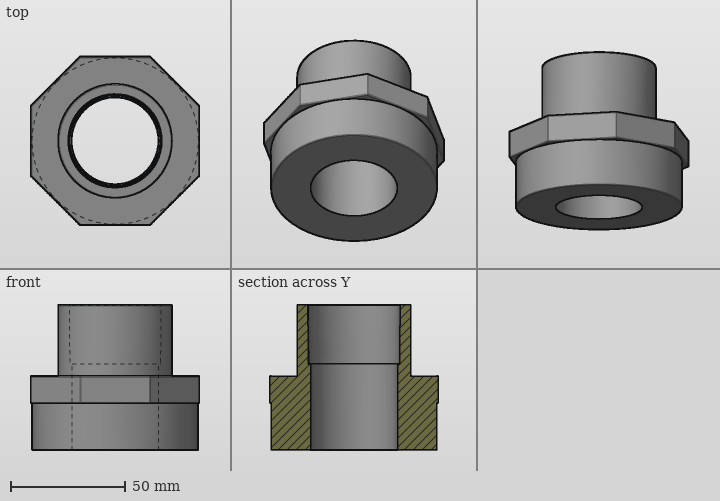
import cadquery as cq
import math

total_height = 63.8
body_height = 20.5
collar_height = 12.0
collar_top = body_height + collar_height
spigot_height = total_height - collar_top

body_diameter = 73.0
collar_across_flats = 74.0
spigot_diameter = 50.0

passage_diameter = 38.0
socket_mouth_diameter = 40.3
socket_floor_diameter = 39.8
socket_depth = 26.0
socket_floor = total_height - socket_depth
socket_lead_in = 0.4

edge_radius = 0.5
body_edge_radius = 0.4


def make_body():
    """Round lower body with a softened bottom rim."""
    body = cq.Workplane("XY").circle(body_diameter / 2).extrude(body_height)
    return body.faces("<Z").edges().fillet(body_edge_radius)


def make_collar():
    """Regular octagonal collar, flats facing X and Y, with every edge rounded."""
    sides = 8
    half_side_angle = 180 / sides
    across_corners = collar_across_flats / math.cos(math.radians(half_side_angle))
    collar = (
        cq.Workplane("XY")
        .workplane(offset=body_height)
        .transformed(rotate=(0, 0, half_side_angle))
        .polygon(sides, across_corners)
        .extrude(collar_height)
    )
    return collar.edges().fillet(edge_radius)


def make_spigot():
    """Plain spigot above the collar, rooted inside it, with a rounded top rim."""
    root_depth = collar_height / 2
    spigot = (
        cq.Workplane("XY")
        .workplane(offset=collar_top - root_depth)
        .circle(spigot_diameter / 2)
        .extrude(spigot_height + root_depth)
    )
    return spigot.faces(">Z").edges().fillet(edge_radius)


def make_bore():
    """Revolved bore: through passage, flat socket floor, tapered socket, lead-in chamfer."""
    passage_radius = passage_diameter / 2
    mouth_radius = socket_mouth_diameter / 2
    profile = [
        (0, 0),
        (passage_radius, 0),
        (passage_radius, socket_floor),
        (socket_floor_diameter / 2, socket_floor),
        (mouth_radius, total_height - socket_lead_in),
        (mouth_radius + socket_lead_in, total_height),
        (0, total_height),
    ]
    return cq.Workplane("XZ").polyline(profile).close().revolve(360, (0, 0), (0, 1))


result = make_body().union(make_collar()).union(make_spigot()).cut(make_bore())